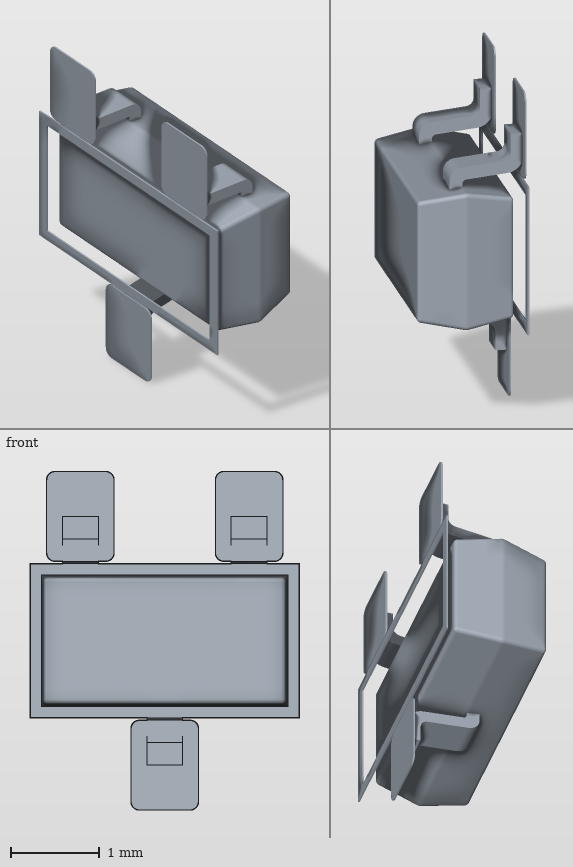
import cadquery as cq
import math


housing_length = 2.9
housing_width = 1.595
housing_depth = 1.1
housing_draft = 10.0
housing_edge_radius = 0.05
belt_height = 0.025

lead_width = 0.405
lead_thickness = 0.15
lead_offset = 0.95
lead_span = 2.793
lead_slope = 6.5
foot_corner_z = 1.095
foot_inner_radius = 0.1
foot_outer_radius = 0.205
shoulder_outer_radius = 0.15
shoulder_inner_radius = 0.05

sheet_thickness = 0.02
land_width = 0.762
land_length = 1.015
land_corner_radius = 0.1
land_span = 3.81
frame_length = 3.03
frame_width = 1.735
frame_border = 0.13

housing_bottom = lead_thickness
parting_y = housing_bottom + housing_depth / 2

lead_places = [(-lead_offset, 1), (lead_offset, 1), (0, -1)]


def plate(length, width, thickness):
    """Flat rectangle in the XZ plane, from Y = 0 up to the given thickness."""
    return cq.Workplane("XZ").rect(length, width).extrude(-thickness)


def make_housing():
    """Block tapering both ways from a narrow straight belt, with rounded corners and rims."""
    taper_height = (housing_depth - belt_height) / 2
    belt = plate(housing_length, housing_width, belt_height).translate((0, -belt_height / 2, 0))
    block = belt
    for face in ("<Y", ">Y"):
        half = (
            belt.faces(face)
            .workplane(centerOption="CenterOfBoundBox")
            .rect(housing_length, housing_width)
            .extrude(taper_height, taper=housing_draft, combine=False)
        )
        block = block.union(half)
    corners_and_rims = block.edges("(not #Y) or <Y or >Y")
    return corners_and_rims.fillet(housing_edge_radius).translate((0, parting_y, 0))


def make_lead(housing):
    """Gull-wing lead on the +Z side at X = 0, from the housing wall down to its foot."""
    foot_tip_z = lead_span / 2
    shoulder_bottom = parting_y
    shoulder_top = shoulder_bottom + lead_thickness
    slope = math.tan(math.radians(lead_slope))
    web_width = lead_thickness / math.cos(math.radians(lead_slope))

    def outer_web_z(y):
        return foot_corner_z - (y - lead_thickness) * slope

    def inner_web_z(y):
        return outer_web_z(y) - web_width

    foot_outer = (0, inner_web_z(0))
    foot_inner = (lead_thickness, foot_corner_z)
    shoulder_outer = (shoulder_top, outer_web_z(shoulder_top))
    shoulder_inner = (shoulder_bottom, inner_web_z(shoulder_bottom))
    outline = [
        (shoulder_bottom, 0),
        shoulder_inner,
        foot_outer,
        (0, foot_tip_z),
        (lead_thickness, foot_tip_z),
        foot_inner,
        shoulder_outer,
        (shoulder_top, 0),
    ]
    lead = cq.Workplane("YZ").polyline(outline).close().extrude(lead_width / 2, both=True)

    bends = [
        (foot_outer, foot_outer_radius),
        (foot_inner, foot_inner_radius),
        (shoulder_outer, shoulder_outer_radius),
        (shoulder_inner, shoulder_inner_radius),
    ]
    for (y, z), radius in bends:
        bend_edge = lead.edges("|X").edges(cq.selectors.NearestToPointSelector((0, y, z)))
        lead = bend_edge.fillet(radius)
    return lead.cut(housing)


def make_land(lead):
    """Rounded land on the +Z side at X = 0, with an opening that fits the foot of the lead."""
    land_center_z = (land_span - land_length) / 2
    land = plate(land_width, land_length, sheet_thickness).edges("|Y").fillet(land_corner_radius)
    return land.translate((0, 0, land_center_z)).cut(lead)


def make_frame():
    """Thin rectangular outline around the housing, level with the lands."""
    opening = plate(frame_length - 2 * frame_border, frame_width - 2 * frame_border, sheet_thickness)
    return plate(frame_length, frame_width, sheet_thickness).cut(opening)


def place(body, x, side):
    """Move a body made at X = 0 on the +Z side to its X position, turned to the -Z side if side is -1."""
    placed = body if side > 0 else body.mirror("XY")
    return placed.translate((x, 0, 0))


housing = make_housing()
lead = make_lead(housing)
land = make_land(lead)
frame = make_frame()

leads = [place(lead, x, side) for x, side in lead_places]
lands = [place(land, x, side) for x, side in lead_places]

bodies = [housing, frame, *leads, *lands]

result = cq.Compound.makeCompound([body.solids().val() for body in bodies])